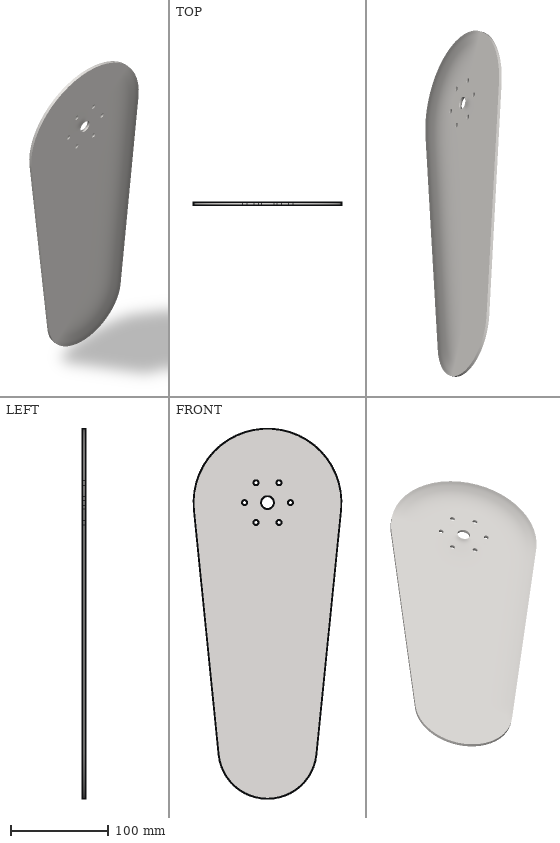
import cadquery as cq
import math

length = 381.0
thickness = 3.15
top_radius = 76.0
bottom_radius = 50.5
center_distance = length - top_radius - bottom_radius

center_hole_diameter = 13.0
bolt_hole_diameter = 5.0
bolt_circle_radius = 23.5
bolt_count = 6

tangent_angle = math.asin((top_radius - bottom_radius) / center_distance)


def tangent_point(radius, center_z, side):
    """Point where a side edge meets an end arc; side is +1 or -1 along X."""
    return (
        side * radius * math.cos(tangent_angle),
        center_z - radius * math.sin(tangent_angle),
    )


bottom_z = -center_distance
plate = (
    cq.Workplane("XZ")
    .moveTo(*tangent_point(top_radius, 0, -1))
    .threePointArc((0, top_radius), tangent_point(top_radius, 0, 1))
    .lineTo(*tangent_point(bottom_radius, bottom_z, 1))
    .threePointArc((0, bottom_z - bottom_radius), tangent_point(bottom_radius, bottom_z, -1))
    .close()
    .extrude(thickness / 2, both=True)
)

center_hole = cq.Workplane("XZ").circle(center_hole_diameter / 2).extrude(thickness, both=True)

bolt_holes = (
    cq.Workplane("XZ")
    .polarArray(bolt_circle_radius, 0, 360, bolt_count)
    .circle(bolt_hole_diameter / 2)
    .extrude(thickness, both=True)
)

result = plate.cut(center_hole).cut(bolt_holes)